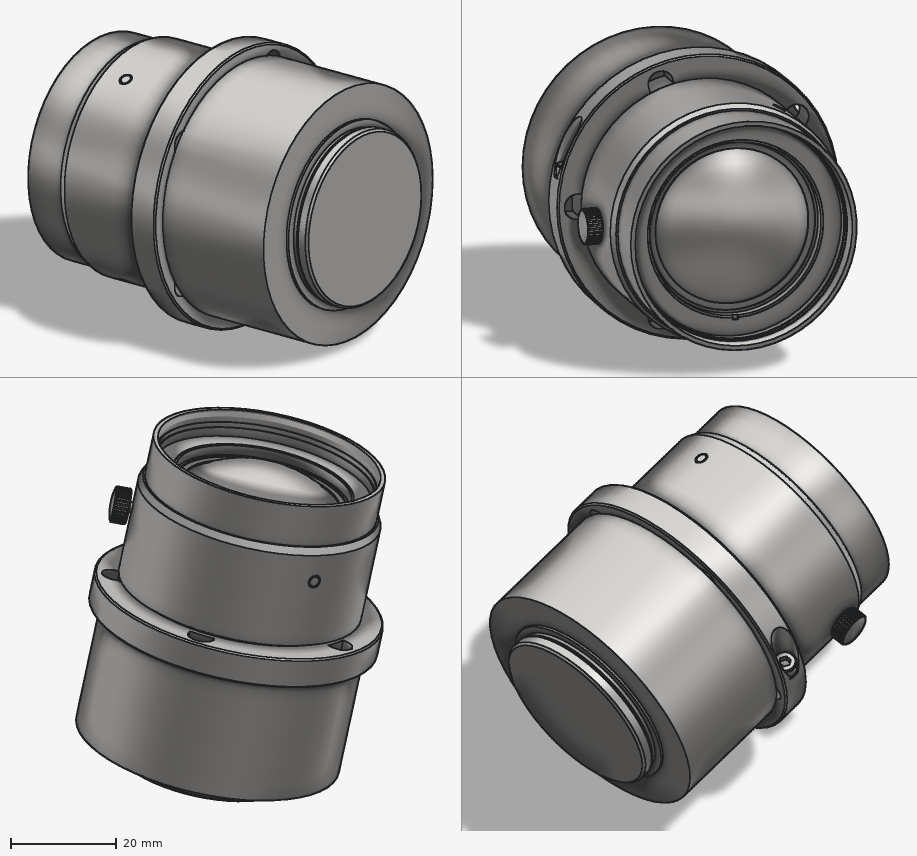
import cadquery as cq
import math

LENGTH = 64.3

MOUTH_DIA = 45.0
MOUTH_LENGTH = 8.3
BARREL_DIA = 47.15
BARREL_CONE_DIA = 45.8
BARREL_CONE_END = 9.8
BARREL_END = 28.7
NECK_END = 29.2
NECK_DIA = 44.6
NECK_STEP_DIA = 43.85

FLANGE_DIA = 56.0
FLANGE_START = 29.5
FLANGE_END = 35.5
FLANGE_CHAMFER = 0.3
FLANGE_MID = (FLANGE_START + FLANGE_END) / 2
SLOT_WIDTH = 4.95
SLOT_ARC_CIRCLE_DIA = 48.25
SLOT_BOTTOM_DIA = 46.55
SLOT_COUNT = 5

BODY_DIA = 51.1
BODY_END = 60.2
REAR_DISC_DIA = 37.3
REAR_DISC_END = 60.7
REAR_NECK_DIA = 34.3
REAR_NECK_END = 61.5
REAR_GROOVE_DIA = 34.0
REAR_GROOVE_END = 61.7
RIM_DIA = 35.0
RIM_CHAMFER = 0.45

BORE_DIA = 43.2
BORE_LIP_DEPTH = 0.4
BORE_CONE_END = 1.35
THREAD_DIA = 42.7
THREAD_END = 2.45
THREAD_ROOT_DIA = 42.45
LEDGE_DEPTH = 3.5
LEDGE_DIA = 42.05
FLOOR_DEPTH = 5.3
RETAINER_DIA = 34.1
RETAINER_RECESS_DIA = 35.0
RETAINER_RECESS_END = 5.4
RETAINER_DEPTH = 7.3
SEAT_DIA = 33.0
SEAT_DEPTH = 7.6
LENS_EDGE_DEPTH = 7.9
NOTCH_WIDTH = 1.0
NOTCH_DEPTH = 0.5
NOTCH_OUTER_RADIUS = 17.9
LENS_DIA = 30.5
LENS_APEX = 2.6

KNOB_X = 15.25
KNOB_DIA = 6.95
KNOB_CHAMFER = 0.25
KNOB_BOTTOM = 24.3
KNOB_SHOULDER = 27.3
KNOB_FACE_DIA = 4.5
KNOB_FACE = 27.6
KNOB_TIP_DIA = 2.8
KNOB_TIP = 27.7
KNOB_STEM_DIA = 2.0
KNURL_COUNT = 30
KNURL_DIA = 0.4
LOCK_HOLE_DIA = 2.5
LOCK_PIN_DIA = 2.0
LOCK_HOLE_DEPTH = 0.65
LOCK_SPACING = 120.0

SCREW_Y = 25.0
SCREW_HEAD_DIA = 4.5
SCREW_HEAD_HEIGHT = 2.5
SCREW_TOP = 7.8
SCREW_CHAMFER = 0.25
SCREW_POCKET_DIA = 5.2
HEX_ACROSS_FLATS = 2.0
HEX_DEPTH = 1.3


def housing():
    """Solid of revolution, bounded by the outer steps, the bore and the lens dome."""
    chamfered_flange = FLANGE_DIA / 2 - FLANGE_CHAMFER
    chamfered_rim = RIM_DIA / 2 - RIM_CHAMFER
    sag = LENS_EDGE_DEPTH - LENS_APEX
    dome_radius = ((LENS_DIA / 2) ** 2 + sag**2) / (2 * sag)
    half_angle = math.asin(LENS_DIA / 2 / dome_radius) / 2
    dome_mid = (
        LENS_APEX + dome_radius * (1 - math.cos(half_angle)),
        dome_radius * math.sin(half_angle),
    )
    profile = (
        cq.Workplane("XY")
        .moveTo(LENS_APEX, 0)
        .threePointArc(dome_mid, (LENS_EDGE_DEPTH, LENS_DIA / 2))
        .lineTo(SEAT_DEPTH, LENS_DIA / 2)
        .lineTo(SEAT_DEPTH, SEAT_DIA / 2)
        .lineTo(RETAINER_DEPTH, SEAT_DIA / 2)
        .lineTo(RETAINER_DEPTH, RETAINER_DIA / 2)
        .lineTo(RETAINER_RECESS_END, RETAINER_DIA / 2)
        .lineTo(RETAINER_RECESS_END, RETAINER_RECESS_DIA / 2)
        .lineTo(FLOOR_DEPTH, RETAINER_RECESS_DIA / 2)
        .lineTo(FLOOR_DEPTH, LEDGE_DIA / 2)
        .lineTo(LEDGE_DEPTH, LEDGE_DIA / 2)
        .lineTo(LEDGE_DEPTH, THREAD_ROOT_DIA / 2)
        .lineTo(THREAD_END, THREAD_ROOT_DIA / 2)
        .lineTo(THREAD_END, THREAD_DIA / 2)
        .lineTo(BORE_CONE_END, THREAD_DIA / 2)
        .lineTo(BORE_LIP_DEPTH, BORE_DIA / 2)
        .lineTo(0, BORE_DIA / 2)
        .lineTo(0, MOUTH_DIA / 2)
        .lineTo(MOUTH_LENGTH, MOUTH_DIA / 2)
        .lineTo(MOUTH_LENGTH, BARREL_CONE_DIA / 2)
        .lineTo(BARREL_CONE_END, BARREL_DIA / 2)
        .lineTo(BARREL_END, BARREL_DIA / 2)
        .lineTo(BARREL_END, NECK_DIA / 2)
        .lineTo(NECK_END, NECK_DIA / 2)
        .lineTo(NECK_END, NECK_STEP_DIA / 2)
        .lineTo(FLANGE_START, NECK_STEP_DIA / 2)
        .lineTo(FLANGE_START, chamfered_flange)
        .lineTo(FLANGE_START + FLANGE_CHAMFER, FLANGE_DIA / 2)
        .lineTo(FLANGE_END - FLANGE_CHAMFER, FLANGE_DIA / 2)
        .lineTo(FLANGE_END, chamfered_flange)
        .lineTo(FLANGE_END, BODY_DIA / 2)
        .lineTo(BODY_END, BODY_DIA / 2)
        .lineTo(BODY_END, REAR_DISC_DIA / 2)
        .lineTo(REAR_DISC_END, REAR_DISC_DIA / 2)
        .lineTo(REAR_DISC_END, REAR_NECK_DIA / 2)
        .lineTo(REAR_NECK_END, REAR_NECK_DIA / 2)
        .lineTo(REAR_NECK_END, REAR_GROOVE_DIA / 2)
        .lineTo(REAR_GROOVE_END, REAR_GROOVE_DIA / 2)
        .lineTo(REAR_GROOVE_END + RIM_CHAMFER, RIM_DIA / 2)
        .lineTo(LENGTH - RIM_CHAMFER, RIM_DIA / 2)
        .lineTo(LENGTH, chamfered_rim)
        .lineTo(LENGTH, 0)
        .close()
    )
    return profile.revolve(360, (0, 0, 0), (1, 0, 0))


def flange_slots():
    """Round-ended slots through the flange, closed inwards by a cylinder; the first lies on +Y."""
    thickness = FLANGE_END - FLANGE_START
    arc_radius = SLOT_ARC_CIRCLE_DIA / 2
    flange_face = cq.Workplane("YZ", origin=(FLANGE_START, 0, 0))
    core = flange_face.circle(SLOT_BOTTOM_DIA / 2).extrude(thickness)
    round_ends = (
        flange_face.polarArray(arc_radius, 0, 360, SLOT_COUNT).circle(SLOT_WIDTH / 2).extrude(thickness)
    )
    straight_sides = (
        flange_face.polarArray(arc_radius - SLOT_WIDTH / 2, 0, 360, SLOT_COUNT)
        .rect(SLOT_WIDTH, SLOT_WIDTH)
        .extrude(thickness)
    )
    return round_ends.union(straight_sides).cut(core)


def spanner_notch():
    """Small notch in the retainer edge at the bottom of the bore."""
    height = NOTCH_OUTER_RADIUS - SEAT_DIA / 2
    return (
        cq.Workplane("XY", origin=(FLOOR_DEPTH, 0, -NOTCH_OUTER_RADIUS))
        .box(NOTCH_DEPTH, NOTCH_WIDTH, height, centered=(False, True, False))
    )


def lock_knob():
    """Knurled thumb screw standing on the +Y side of the barrel."""
    stem_root = BARREL_DIA / 2 - LOCK_HOLE_DEPTH
    knob = (
        cq.Workplane("XY")
        .moveTo(0, stem_root)
        .lineTo(KNOB_STEM_DIA / 2, stem_root)
        .lineTo(KNOB_STEM_DIA / 2, KNOB_BOTTOM)
        .lineTo(KNOB_DIA / 2 - KNOB_CHAMFER, KNOB_BOTTOM)
        .lineTo(KNOB_DIA / 2, KNOB_BOTTOM + KNOB_CHAMFER)
        .lineTo(KNOB_DIA / 2, KNOB_SHOULDER - KNOB_CHAMFER)
        .lineTo(KNOB_DIA / 2 - KNOB_CHAMFER, KNOB_SHOULDER)
        .lineTo(KNOB_FACE_DIA / 2, KNOB_FACE)
        .lineTo(KNOB_TIP_DIA / 2, KNOB_TIP)
        .lineTo(0, KNOB_TIP)
        .close()
        .revolve(360, (0, 0, 0), (0, 1, 0))
    )
    knurl = (
        cq.Workplane("XZ", origin=(0, KNOB_TIP, 0))
        .polarArray(KNOB_DIA / 2, 0, 360, KNURL_COUNT)
        .circle(KNURL_DIA / 2)
        .extrude(KNOB_TIP - KNOB_BOTTOM)
    )
    return knob.cut(knurl).translate((KNOB_X, 0, 0))


def lock_groove(angle):
    """Ring-shaped groove around a set screw, turned about X away from +Y."""
    return (
        cq.Workplane("XZ", origin=(KNOB_X, BARREL_DIA / 2, 0))
        .circle(LOCK_HOLE_DIA / 2)
        .circle(LOCK_PIN_DIA / 2)
        .extrude(LOCK_HOLE_DEPTH)
        .rotate((0, 0, 0), (1, 0, 0), angle)
    )


def screw_pocket():
    """Counterbore for the clamping screw, open towards +Z."""
    return (
        cq.Workplane("XY", origin=(FLANGE_MID, SCREW_Y, SCREW_TOP - SCREW_HEAD_HEIGHT))
        .circle(SCREW_POCKET_DIA / 2)
        .extrude(FLANGE_DIA / 2)
    )


def screw_head():
    """Socket head of the clamping screw."""
    hex_corner_dia = HEX_ACROSS_FLATS / math.cos(math.pi / 6)
    return (
        cq.Workplane("XY", origin=(FLANGE_MID, SCREW_Y, SCREW_TOP - SCREW_HEAD_HEIGHT))
        .circle(SCREW_HEAD_DIA / 2)
        .extrude(SCREW_HEAD_HEIGHT)
        .faces(">Z")
        .chamfer(SCREW_CHAMFER)
        .faces(">Z")
        .workplane()
        .transformed(rotate=(0, 0, 90))
        .polygon(6, hex_corner_dia)
        .cutBlind(-HEX_DEPTH)
    )


result = housing().cut(flange_slots()).cut(spanner_notch()).cut(screw_pocket())
for side in (1, -1):
    result = result.cut(lock_groove(side * LOCK_SPACING))
result = result.union(lock_knob()).union(screw_head())